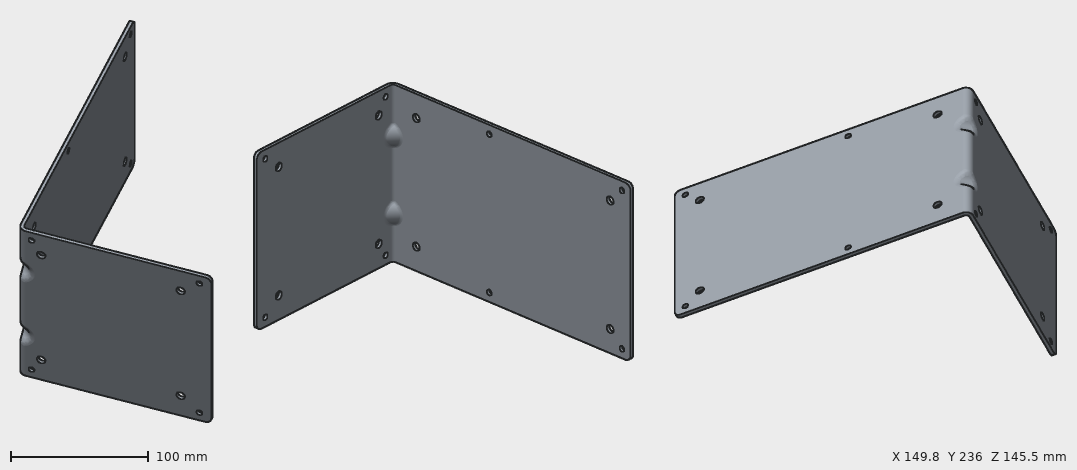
import cadquery as cq
import math

width = 149.79
depth = 236.0
height = 145.5

thickness = 3.0
outer_bend_radius = 6.0
corner_radius = 5.0

gusset_groove_radius = 7.0
gusset_reach = 10.6
gusset_heights = (40.0, 104.0)

small_diameter = 4.5
small_spacing = 130.0
short_small_start = 10.5
long_small_start = 97.5

large_diameter = 6.5
large_height_spacing = 105.5
short_large_start = 18.0
short_large_spacing = 108.0
long_large_start = 26.0
long_large_spacing = 190.0


def gusset_groove(offset, center_height):
    """Level cylinder at 45 degrees across the bend, enlarged by the skin offset."""
    radius = gusset_groove_radius + offset
    axis_intercept = gusset_reach - gusset_groove_radius * math.sqrt(2)
    half_span = 2 * (axis_intercept + radius)
    start = cq.Vector(axis_intercept / 2 - half_span, axis_intercept / 2 + half_span, center_height)
    direction = cq.Vector(1, -1, 0)
    length = 2 * half_span * math.sqrt(2)
    return cq.Workplane(obj=cq.Solid.makeCylinder(radius, length, start, direction))


def bend_block(offset):
    """Block whose bend side follows the sheet, offset inward from the outer faces."""
    block = (
        cq.Workplane("XY")
        .box(width - offset, depth - offset, height, centered=False)
        .translate((offset, offset, 0))
    )
    for center_height in gusset_heights:
        block = block.cut(gusset_groove(offset, center_height))

    corner_size = 2 * (gusset_reach + thickness)
    near_bend = cq.selectors.BoxSelector((0, 0, 0), (corner_size, corner_size, height))
    return block.edges(near_bend).edges("|Z or %ELLIPSE").fillet(outer_bend_radius - offset)


def bent_plate():
    """Sheet between the outer and inner skins, with rounded free corners."""
    plate = bend_block(0).cut(bend_block(thickness))
    plate = plate.edges(">X and |Y").fillet(corner_radius)
    return plate.edges(">Y and |X").fillet(corner_radius)


def hole_group(plane, start, spacing, height_spacing, diameter):
    """Pins for four through holes, centered in height, starting at a distance along a flange."""
    return (
        cq.Workplane(plane)
        .center(start + spacing / 2, height / 2)
        .rarray(spacing, height_spacing, 2, 2)
        .circle(diameter / 2)
        .extrude(2 * thickness, both=True)
    )


short_flange = "XZ"
long_flange = "YZ"
hole_groups = (
    (short_flange, short_small_start, small_spacing, small_spacing, small_diameter),
    (short_flange, short_large_start, short_large_spacing, large_height_spacing, large_diameter),
    (long_flange, long_small_start, small_spacing, small_spacing, small_diameter),
    (long_flange, long_large_start, long_large_spacing, large_height_spacing, large_diameter),
)

result = bent_plate()
for group in hole_groups:
    result = result.cut(hole_group(*group))